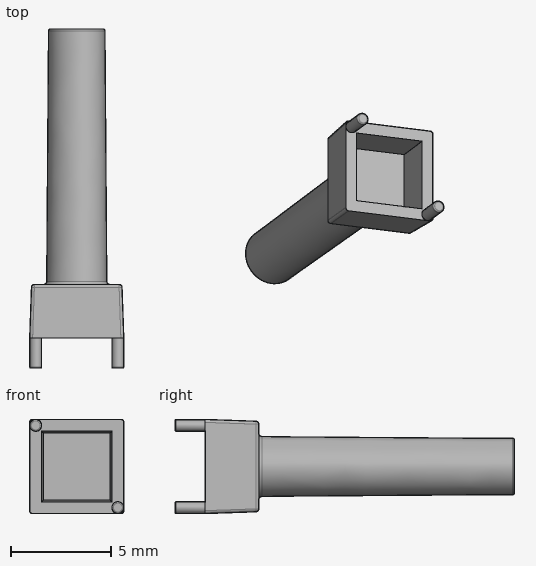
import cadquery as cq
import math

total_length = 16.89
pin_length = 1.5
box_length = 2.67
box_back = pin_length + box_length
shaft_length = total_length - box_back

box_width = 4.7
box_draft = 2.0
box_edge_radius = 0.15

pocket_width = 3.53
pocket_floor_width = 3.33
pocket_depth = 2.1
pocket_draft = math.degrees(math.atan((pocket_width - pocket_floor_width) / 2 / pocket_depth))

shaft_base_diameter = 3.0
shaft_end_diameter = 2.82
shaft_base_fillet = 0.15
shaft_end_fillet = 0.1

pin_diameter = 0.59
pin_offset = 2.05
pin_tip_fillet = 0.07


def plane_at(y):
    """Plane square to the part axis, extruding towards +Y, with local axes X and -Z."""
    return cq.Workplane("XZ", origin=(0, y, 0)).transformed(rotate=(180, 0, 0))


def make_box():
    box = plane_at(pin_length).rect(box_width, box_width).extrude(box_length, taper=box_draft)
    return box.edges("not <Y").fillet(box_edge_radius)


def make_shaft():
    shaft = plane_at(box_back).circle(shaft_base_diameter / 2)
    shaft = shaft.workplane(offset=shaft_length).circle(shaft_end_diameter / 2).loft()
    return shaft.faces(">Y").edges().fillet(shaft_end_fillet)


def make_pin(x, z):
    pin = cq.Workplane("XZ", origin=(x, pin_length, z)).circle(pin_diameter / 2).extrude(pin_length)
    return pin.faces("<Y").edges().fillet(pin_tip_fillet)


def make_pocket():
    pocket = plane_at(pin_length).rect(pocket_width, pocket_width)
    return pocket.extrude(pocket_depth, taper=pocket_draft)


body = make_box().union(make_shaft())
shaft_root = cq.selectors.BoxSelector(
    (-box_width, box_back - shaft_base_fillet / 2, -box_width),
    (box_width, box_back + shaft_base_fillet / 2, box_width),
)
body = body.edges("%CIRCLE").edges(shaft_root).fillet(shaft_base_fillet)
body = body.cut(make_pocket())
for side in (-1, 1):
    body = body.union(make_pin(side * pin_offset, -side * pin_offset))

result = body